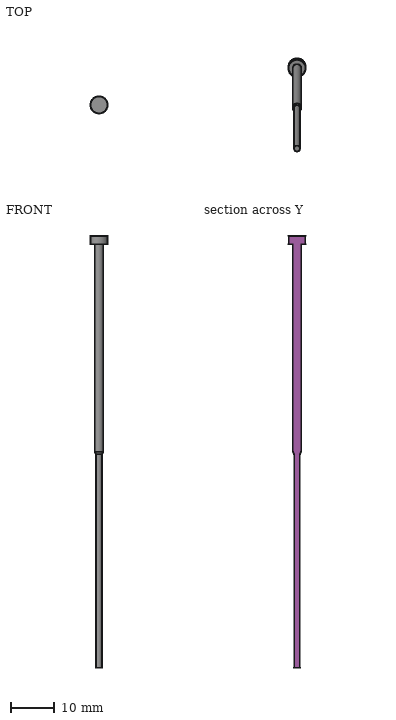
import cadquery as cq
import math

overall_length = 100.0
head_diameter = 4.0
head_height = 2.0
shank_diameter = 2.0
tip_diameter = 1.4
tip_length = overall_length / 2
shoulder_angle = 30.0
shoulder_height = (shank_diameter - tip_diameter) / 2 / math.tan(math.radians(shoulder_angle))

shank_bottom = tip_length
head_bottom = overall_length - head_height


def make_pin():
    """Revolve the stepped half-profile, drawn on the -X side, about the Z axis."""
    head_x = -head_diameter / 2
    shank_x = -shank_diameter / 2
    tip_x = -tip_diameter / 2
    return (
        cq.Workplane("XZ")
        .moveTo(0, 0)
        .lineTo(tip_x, 0)
        .lineTo(tip_x, shank_bottom - shoulder_height)
        .lineTo(shank_x, shank_bottom)
        .lineTo(shank_x, head_bottom)
        .lineTo(head_x, head_bottom)
        .lineTo(head_x, overall_length)
        .lineTo(0, overall_length)
        .close()
        .revolve(360, (0, 0, 0), (0, 1, 0))
    )


result = make_pin()